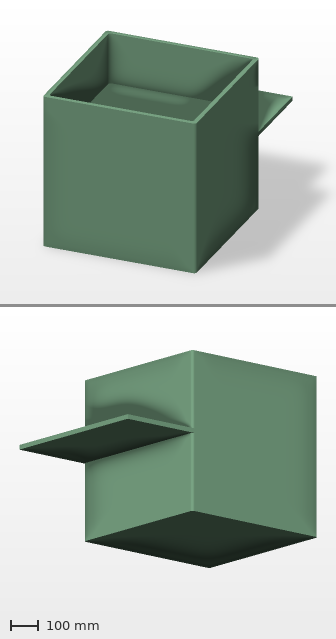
import cadquery as cq

box_side = 600.0
total_depth = 909.0
wall = 17.0
corner_radius = 10.0
pocket_depth = 200.0
shelf_thickness = 17.0

shelf_reach = total_depth - box_side


def make_box():
    """Cube with rounded upright edges, standing on Z = 0."""
    block = cq.Workplane("XY").box(box_side, box_side, box_side, centered=(True, True, False))
    return block.edges("|Z").fillet(corner_radius)


def make_pocket():
    """Rounded square recess opening at the top of the cube."""
    opening = box_side - 2 * wall
    return (
        cq.Workplane("XY", origin=(0, 0, box_side - pocket_depth))
        .box(opening, opening, pocket_depth, centered=(True, True, False))
        .edges("|Z")
        .fillet(corner_radius)
    )


def make_shelf():
    """Flat plate at mid height behind the cube, run in past its rounded corners."""
    length = shelf_reach + corner_radius
    start = box_side / 2 - corner_radius
    return cq.Workplane("XY", origin=(0, start + length / 2, box_side / 2)).box(
        box_side, length, shelf_thickness
    )


result = make_box().union(make_shelf()).cut(make_pocket())